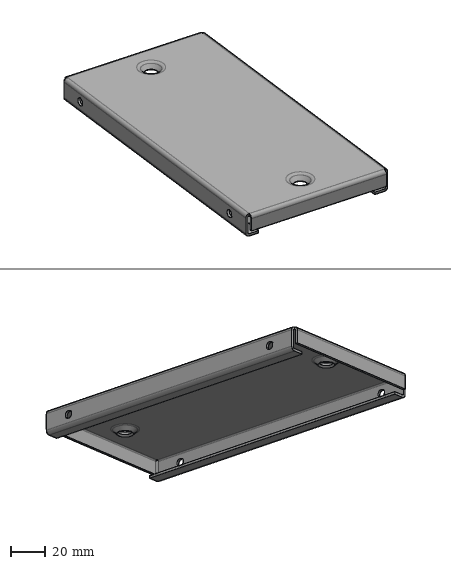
import cadquery as cq
import math

length = 196.0
width = 99.0
height = 15.0

sheet = 1.5
bend_radius = 2.4
inner_bend_radius = bend_radius - sheet

end_flange_depth = 10.5
lip_length = 9.0

hole_spacing = 156.8
side_hole_diameter = 4.9
side_hole_z = height / 2

recess_diameter = 16.9
recess_hole_diameter = 7.5
recess_round_radius = 3.1
recess_slope = math.radians(45)

panel_length = length - 2 * bend_radius
panel_width = width - 2 * bend_radius


def end_to_end_channel():
    """Top sheet with a plain flange folded down at each X end."""
    outer = (
        cq.Workplane("XY")
        .box(length, panel_width, end_flange_depth, centered=(True, True, False))
        .translate((0, 0, height - end_flange_depth))
        .edges("|Y and >Z")
        .fillet(bend_radius)
    )
    cavity = (
        cq.Workplane("XY")
        .box(length - 2 * sheet, panel_width, end_flange_depth - sheet, centered=(True, True, False))
        .translate((0, 0, height - end_flange_depth))
        .edges("|Y and >Z")
        .fillet(inner_bend_radius)
    )
    return outer.cut(cavity)


def side_to_side_channel():
    """Top sheet with side flanges folded down and lips folded inward."""
    outer = (
        cq.Workplane("XY")
        .box(panel_length, width, height, centered=(True, True, False))
        .edges("|X")
        .fillet(bend_radius)
    )
    cavity = (
        cq.Workplane("XY")
        .box(panel_length, width - 2 * sheet, height - 2 * sheet, centered=(True, True, False))
        .translate((0, 0, sheet))
        .edges("|X")
        .fillet(inner_bend_radius)
    )
    lip_gap = cq.Workplane("XY").box(
        panel_length, width - 2 * lip_length, 2 * sheet, centered=(True, True, False)
    )
    return outer.cut(cavity).cut(lip_gap)


def side_holes():
    """Round holes drilled through both side flanges."""
    return (
        cq.Workplane("XZ")
        .pushPoints([(-hole_spacing / 2, side_hole_z), (hole_spacing / 2, side_hole_z)])
        .circle(side_hole_diameter / 2)
        .extrude(width, both=True)
    )


def recess_wall():
    """Sheet drawn down into a rounded, tapering recess about the Z axis."""
    rim = recess_diameter / 2
    round_center_z = height - recess_round_radius
    under_round_radius = recess_round_radius - sheet

    def on_round(radius, angle):
        return (rim - radius * math.sin(angle), round_center_z + radius * math.cos(angle))

    slope_top = on_round(recess_round_radius, recess_slope)
    slope_under = on_round(under_round_radius, recess_slope)
    hole_radius = recess_hole_diameter / 2
    drop = (slope_top[0] - hole_radius) * math.tan(recess_slope)
    tip_top = (hole_radius, slope_top[1] - drop)
    tip_under = (
        tip_top[0] + sheet * math.sin(recess_slope),
        tip_top[1] - sheet * math.cos(recess_slope),
    )
    return (
        cq.Workplane("XZ")
        .moveTo(rim, height)
        .threePointArc(on_round(recess_round_radius, recess_slope / 2), slope_top)
        .lineTo(*tip_top)
        .lineTo(*tip_under)
        .lineTo(*slope_under)
        .threePointArc(on_round(under_round_radius, recess_slope / 2), (rim, height - sheet))
        .close()
        .revolve(360, (0, 0, 0), (0, 1, 0))
    )


result = end_to_end_channel().union(side_to_side_channel()).cut(side_holes())

for recess_x in (-hole_spacing / 2, hole_spacing / 2):
    opening = (
        cq.Workplane("XY", origin=(recess_x, 0, height - sheet))
        .circle(recess_diameter / 2)
        .extrude(sheet)
    )
    result = result.cut(opening).union(recess_wall().translate((recess_x, 0, 0)))